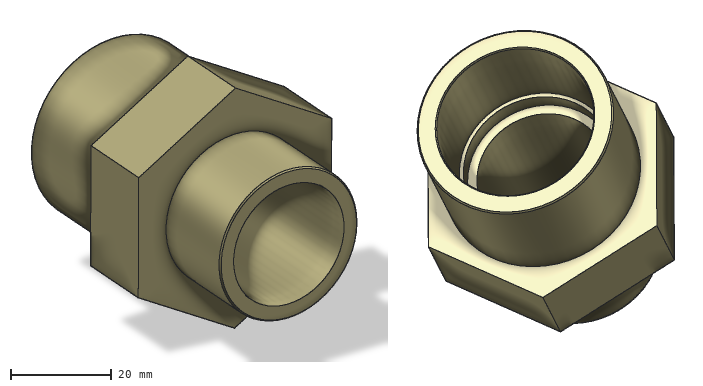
import cadquery as cq
import math

total_length = 62.0
hex_start = 26.1
hex_length = 16.85
hex_end = hex_start + hex_length

large_spigot_diameter = 40.0
small_spigot_diameter = 33.25
hex_across_flats = 46.5
hex_tilt_degrees = 0.27
end_chamfer = 0.3

socket_diameter = 32.0
socket_depth = 22.0
seat_diameter = 30.4
seat_depth = hex_start
through_diameter = 26.6
mouth_chamfer = 0.25


def spigot(start, length, diameter, free_end):
    """Round spigot along X with a small chamfer on its free end."""
    body = cq.Workplane("YZ", origin=(start, 0, 0)).circle(diameter / 2).extrude(length)
    return body.faces(free_end).chamfer(end_chamfer)


def hex_collar():
    """Hexagonal wrench collar with corners up and down, tilted slightly toward +Y."""
    across_corners = hex_across_flats / math.cos(math.radians(30))
    return (
        cq.Workplane("YZ", origin=(hex_start, 0, 0))
        .polygon(6, across_corners)
        .extrude(hex_length)
        .rotate((0, 0, 0), (1, 0, 0), 90 - hex_tilt_degrees)
    )


def stepped_bore():
    """Space inside the fitting: a chamfered socket, a narrower seat and a through hole."""
    bore = cq.Workplane("YZ").circle(through_diameter / 2).extrude(total_length)
    seat = cq.Workplane("YZ").circle(seat_diameter / 2).extrude(seat_depth)
    socket = cq.Workplane("YZ").circle(socket_diameter / 2).extrude(socket_depth)
    mouth = (
        cq.Workplane("YZ")
        .circle(socket_diameter / 2 + mouth_chamfer)
        .extrude(mouth_chamfer, taper=45)
    )
    return bore.union(seat).union(socket).union(mouth)


large_spigot = spigot(0, hex_start, large_spigot_diameter, "<X")
small_spigot = spigot(hex_end, total_length - hex_end, small_spigot_diameter, ">X")

result = hex_collar().union(large_spigot).union(small_spigot).cut(stepped_bore())